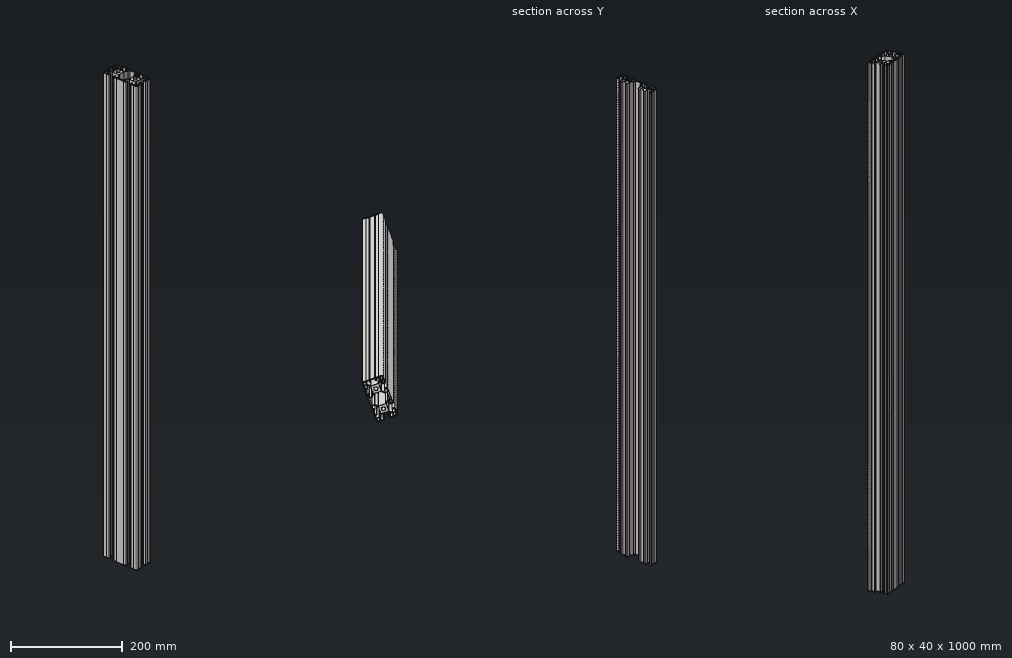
import cadquery as cq
import math

length = 1000.0
module = 40.0
half_module = module / 2
width = 2 * module
corner_radius = 3.0

core_half = 7.8
core_bore_diameter = 6.8
rib_thickness = 1.5
rib_inset = rib_thickness / math.sqrt(2)

corner_bore_diameter = 5.0
corner_bore_offset = 4.5

slot_opening = 8.4
lip_depth = 5.5
lip_half = 6.2
slot_half = 12.0
skin = 1.5
slot_floor = half_module - core_half
floor_half = core_half - rib_inset
shoulder_depth = slot_floor - (slot_half - floor_half)

hollow_half_width = half_module - core_half
hollow_side_half = core_half - rib_inset
hollow_neck_half = 7.0
hollow_neck_start = hollow_half_width + hollow_side_half - hollow_neck_half
wall = 3.0
hollow_top = half_module - wall


def mirrored_prism(half_outline):
    """Extrude an outline made of half_outline and its mirror image across the Y axis."""
    outline = half_outline + [(-x, y) for x, y in reversed(half_outline)]
    return cq.Workplane("XY").polyline(outline).close().extrude(length)


def slot_cut(opening_start):
    """T-slot below a face on y = 0, its opening starting opening_start below the face."""
    return mirrored_prism(
        [
            (slot_opening / 2, -opening_start),
            (slot_opening / 2, -lip_depth),
            (lip_half, -lip_depth),
            (lip_half, -skin),
            (slot_half, -skin),
            (slot_half, -shoulder_depth),
            (floor_half, -slot_floor),
        ]
    )


def place(slot, angle, x, y):
    """Turn a slot about Z and move the middle of its face to (x, y)."""
    return slot.rotate((0, 0, 0), (0, 0, 1), angle).translate((x, y, 0))


def bores(points, diameter):
    """Full-length cylinders of one diameter at the given points."""
    return cq.Workplane("XY").pushPoints(points).circle(diameter / 2).extrude(length)


profile = cq.Workplane("XY").rect(width, module).extrude(length)
profile = profile.edges("|Z").fillet(corner_radius)

open_slot = slot_cut(0)
closed_slot = slot_cut(skin)
for core_x in (-half_module, half_module):
    profile = profile.cut(place(open_slot, 180, core_x, -half_module))
    profile = profile.cut(place(closed_slot, 0, core_x, half_module))
profile = profile.cut(place(open_slot, -90, module, 0))
profile = profile.cut(place(closed_slot, 90, -module, 0))

hollow_upper = [
    (hollow_neck_half, hollow_top),
    (hollow_neck_half, hollow_neck_start),
    (hollow_half_width, hollow_side_half),
]
hollow_lower = [(x, -y) for x, y in reversed(hollow_upper)]
profile = profile.cut(mirrored_prism(hollow_upper + hollow_lower))

core_points = [(-half_module, 0), (half_module, 0)]
corner_x = module - corner_bore_offset
corner_y = half_module - corner_bore_offset
corner_points = [(side * corner_x, end * corner_y) for side in (-1, 1) for end in (-1, 1)]
profile = profile.cut(bores(core_points, core_bore_diameter))
result = profile.cut(bores(corner_points, corner_bore_diameter))